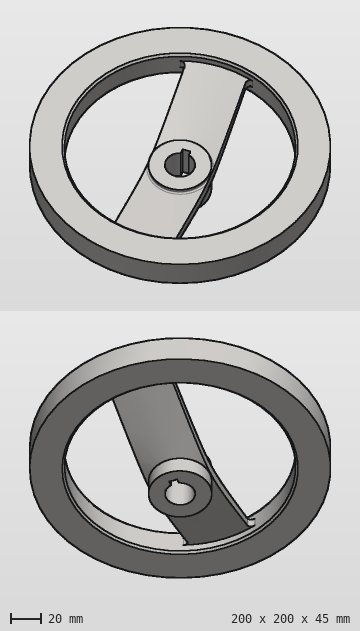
import cadquery as cq
import math

rim_radius = 100.0
rim_inner_radius = 76.8
rim_height = 20.5
rim_chamfer = 1.5

hub_radius = 21.0
hub_bottom = -24.5
hub_top = 0.0
bore_radius = 10.0
key_width = 5.5
key_top = 13.0

spoke_width = 42.8
web_lower_slope = math.radians(19.4)
web_upper_slope = math.radians(17.2)
web_lower_z = -12.5
web_upper_z = -3.5
hub_fillet = 1.0
spoke_fillet = 3.0

selection_margin = 0.2

web_outer_radius = rim_inner_radius + 2 * rim_chamfer
web_length = web_outer_radius - hub_radius
web_lower_end_z = web_lower_z + web_length * math.tan(web_lower_slope)
web_upper_end_z = web_upper_z + web_length * math.tan(web_upper_slope)


def make_rim():
    """Plain ring with both inner edges chamfered."""
    ring = cq.Workplane("XY").circle(rim_radius).circle(rim_inner_radius).extrude(rim_height)
    return ring.edges(cq.selectors.RadiusNthSelector(0)).chamfer(rim_chamfer)


def make_hub_and_web():
    """Hub and dished web revolved together, with a fillet around the upper hub joint."""
    body = (
        cq.Workplane("XZ")
        .moveTo(0, hub_bottom)
        .lineTo(hub_radius, hub_bottom)
        .lineTo(hub_radius, web_lower_z)
        .lineTo(web_outer_radius, web_lower_end_z)
        .lineTo(web_outer_radius, web_upper_end_z)
        .lineTo(hub_radius, web_upper_z)
        .lineTo(hub_radius, hub_top)
        .lineTo(0, hub_top)
        .close()
        .revolve(360, (0, 0, 0), (0, 1, 0))
    )
    joint = cq.selectors.BoxSelector(
        (-hub_radius, -hub_radius, web_upper_z - selection_margin),
        (hub_radius, hub_radius, web_upper_z + selection_margin),
    )
    return body.edges(joint).fillet(hub_fillet)


def make_spokes():
    """Hub and web trimmed to a straight strip along Y."""
    strip = (
        cq.Workplane("XY", origin=(0, 0, hub_bottom))
        .rect(spoke_width, 2 * web_outer_radius)
        .extrude(rim_height - hub_bottom)
    )
    return make_hub_and_web().intersect(strip)


def fillet_spoke_corners(wheel):
    """Round the four upright corners where the spoke sides meet the rim bore."""
    corner_x = spoke_width / 2
    corner_y = math.sqrt(rim_inner_radius**2 - corner_x**2)
    for x in (-corner_x, corner_x):
        for y in (-corner_y, corner_y):
            corner = cq.selectors.BoxSelector(
                (x - selection_margin, y - selection_margin, 0),
                (x + selection_margin, y + selection_margin, rim_height),
            )
            wheel = wheel.edges(corner).edges("|Z").fillet(spoke_fillet)
    return wheel


def make_bore():
    """Through bore with a keyway on the +Y side."""
    height = hub_top - hub_bottom
    base = cq.Workplane("XY", origin=(0, 0, hub_bottom))
    keyway = base.center(0, key_top / 2).rect(key_width, key_top).extrude(height)
    return base.circle(bore_radius).extrude(height).union(keyway)


wheel = make_rim().union(make_spokes())
result = fillet_spoke_corners(wheel).cut(make_bore())